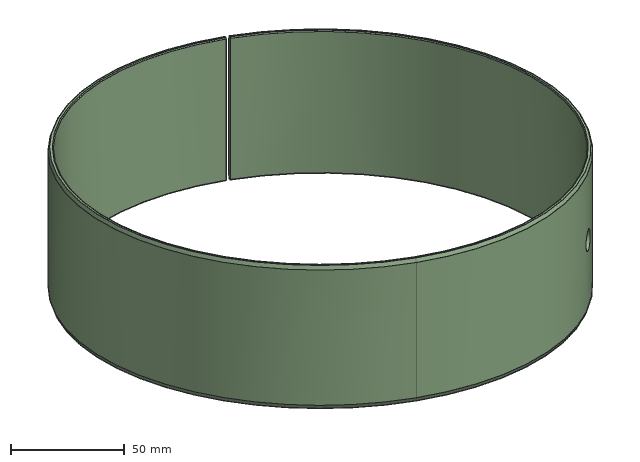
import cadquery as cq

outer_diameter = 240.0
wall = 2.5
height = 70.0
bevel_height = 2.0
bevel_depth = 0.7
inner_chamfer = 0.5

slit_width = 2.0
slit_center_y = slit_width / 2

hole_diameter = 10.0
hole_angle = 59.0

outer_radius = outer_diameter / 2
inner_radius = outer_radius - wall


def ring_body():
    """Tube standing on Z = 0, with outer rims bevelled and bore rims chamfered."""
    wall_profile = [
        (inner_radius, inner_chamfer),
        (inner_radius + inner_chamfer, 0),
        (outer_radius - bevel_depth, 0),
        (outer_radius, bevel_height),
        (outer_radius, height - bevel_height),
        (outer_radius - bevel_depth, height),
        (inner_radius + inner_chamfer, height),
        (inner_radius, height - inner_chamfer),
    ]
    return (
        cq.Workplane("XZ")
        .polyline(wall_profile)
        .close()
        .revolve(360, (0, 0, 0), (0, 1, 0))
    )


def slit_cutter():
    """Full-height slot through the wall on the -X side."""
    return (
        cq.Workplane("XY")
        .center(-outer_radius, slit_center_y)
        .rect(4 * wall, slit_width)
        .extrude(height)
    )


def hole_cutter():
    """Radial cylinder through one side of the wall at mid-height."""
    return (
        cq.Workplane("YZ")
        .center(0, height / 2)
        .circle(hole_diameter / 2)
        .extrude(outer_diameter)
        .rotate((0, 0, 0), (0, 0, 1), hole_angle)
    )


result = ring_body().cut(slit_cutter()).cut(hole_cutter())